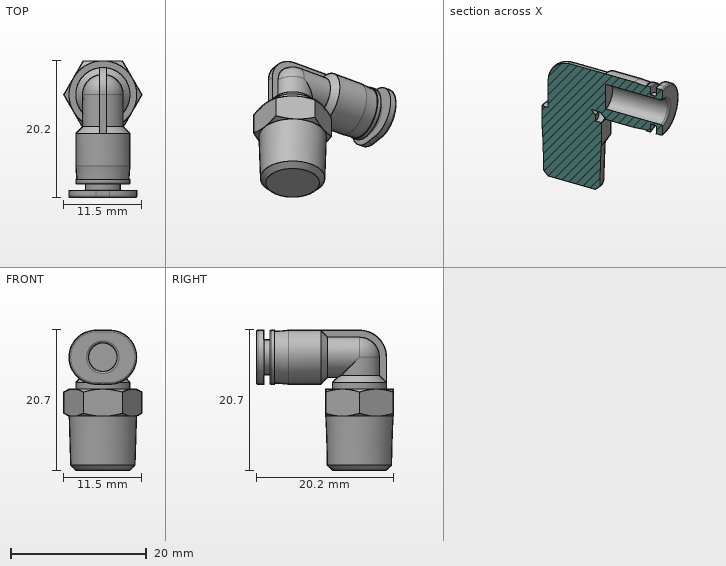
import cadquery as cq
import math

thread_length = 8.0
thread_base_radius = 4.98
thread_taper = 1 / 32
tip_chamfer = 0.8
hex_across_flats = 10.0
hex_height = 4.0
hex_chamfer_angle = 30.0
collar_height = 1.0

pipe_radius = 3.0
body_radius = 4.0
collar_radius = body_radius
rib_width = 1.05
arm_axis_z = 16.7

shoulder_start = 4.7
shoulder_end = shoulder_start + body_radius - pipe_radius
taper_start = 10.5
ring_start = 12.5
ring_end = 13.2
flange_start = 14.1
arm_end = 15.2

taper_end_radius = 3.85
ring_round = 0.2
neck_radius = 2.6
neck_round = 0.1
flange_width = 10.0
flange_height = 2 * body_radius
flange_round = 0.25
bore_radius = 2.1
bore_mouth_round = 0.3

hex_bottom = thread_length
hex_top = hex_bottom + hex_height
collar_top = hex_top + collar_height
collar_cone_top = collar_top + collar_radius - pipe_radius


def make_thread():
    """Tapered thread envelope with a 45 degree chamfer at its tip."""
    chamfer_top_radius = thread_base_radius - thread_taper * (thread_length - tip_chamfer)
    profile = (
        cq.Workplane("XZ")
        .lineTo(chamfer_top_radius - tip_chamfer, 0)
        .lineTo(chamfer_top_radius, tip_chamfer)
        .lineTo(thread_base_radius, thread_length)
        .lineTo(0, thread_length)
        .close()
    )
    return profile.revolve(360, (0, 0, 0), (0, 1, 0))


def make_hexagon():
    """Hexagon whose corners are cut by a cone at both ends."""
    flat_radius = hex_across_flats / 2
    corner_radius = flat_radius / math.cos(math.pi / 6)
    prism = (
        cq.Workplane("XY", origin=(0, 0, hex_bottom))
        .polygon(6, 2 * corner_radius)
        .extrude(hex_height)
    )
    corner_drop = (corner_radius - flat_radius) * math.tan(math.radians(hex_chamfer_angle))
    cones = (
        cq.Workplane("XZ")
        .moveTo(0, hex_bottom)
        .lineTo(flat_radius, hex_bottom)
        .lineTo(corner_radius, hex_bottom + corner_drop)
        .lineTo(corner_radius, hex_top - corner_drop)
        .lineTo(flat_radius, hex_top)
        .lineTo(0, hex_top)
        .close()
        .revolve(360, (0, 0, 0), (0, 1, 0))
    )
    return prism.intersect(cones)


def make_riser():
    """Collar, its 45 degree cone and the vertical pipe up to the arm axis."""
    profile = (
        cq.Workplane("XZ")
        .moveTo(0, hex_top)
        .lineTo(collar_radius, hex_top)
        .lineTo(collar_radius, collar_top)
        .lineTo(pipe_radius, collar_cone_top)
        .lineTo(pipe_radius, arm_axis_z)
        .lineTo(0, arm_axis_z)
        .close()
    )
    return profile.revolve(360, (0, 0, 0), (0, 1, 0))


def make_elbow_ball():
    """Sphere that rounds the outside of the elbow."""
    return cq.Workplane("XY", origin=(0, 0, arm_axis_z)).sphere(pipe_radius)


def make_arm():
    """Horizontal pipe, socket body, end ring and release-sleeve neck."""
    profile = (
        cq.Workplane("XY", origin=(0, 0, arm_axis_z))
        .lineTo(pipe_radius, 0)
        .lineTo(pipe_radius, -shoulder_start)
        .lineTo(body_radius, -shoulder_end)
        .lineTo(body_radius, -taper_start)
        .lineTo(taper_end_radius, -ring_start)
        .lineTo(body_radius, -ring_start)
        .lineTo(body_radius, -(ring_end - ring_round))
        .radiusArc((body_radius - ring_round, -ring_end), ring_round)
        .lineTo(neck_radius, -ring_end)
        .lineTo(neck_radius, -(flange_start - neck_round))
        .radiusArc((neck_radius + neck_round, -flange_start), -neck_round)
        .lineTo(0, -flange_start)
        .close()
    )
    return profile.revolve(360, (0, 0, 0), (0, 1, 0))


def make_flange():
    """Oblong release flange with a rounded outer rim."""
    return (
        cq.Workplane("XZ", origin=(0, -flange_start, arm_axis_z))
        .slot2D(flange_width, flange_height)
        .extrude(arm_end - flange_start)
        .faces("<Y")
        .edges()
        .fillet(flange_round)
    )


def make_rib():
    """Flat rib round the back of the elbow, from the collar to the socket body."""
    corner_offset = body_radius * math.sqrt(0.5)
    rib_top = arm_axis_z + body_radius
    return (
        cq.Workplane("YZ", origin=(-rib_width / 2, 0, 0))
        .moveTo(0, hex_top)
        .lineTo(body_radius, hex_top)
        .lineTo(body_radius, arm_axis_z)
        .threePointArc((corner_offset, arm_axis_z + corner_offset), (0, rib_top))
        .lineTo(-shoulder_end, rib_top)
        .lineTo(-shoulder_end, arm_axis_z)
        .lineTo(0, arm_axis_z)
        .close()
        .extrude(rib_width)
    )


def make_bore():
    """Blind tube bore, as deep as the socket body, with a rounded mouth."""
    mouth_radius = bore_radius + bore_mouth_round
    profile = (
        cq.Workplane("XY", origin=(0, 0, arm_axis_z))
        .moveTo(0, -shoulder_end)
        .lineTo(bore_radius, -shoulder_end)
        .lineTo(bore_radius, -(arm_end - bore_mouth_round))
        .radiusArc((mouth_radius, -arm_end), -bore_mouth_round)
        .lineTo(0, -arm_end)
        .close()
    )
    return profile.revolve(360, (0, 0, 0), (0, 1, 0))


result = (
    make_thread()
    .union(make_hexagon())
    .union(make_riser())
    .union(make_elbow_ball())
    .union(make_arm())
    .union(make_flange())
    .union(make_rib())
    .cut(make_bore())
)